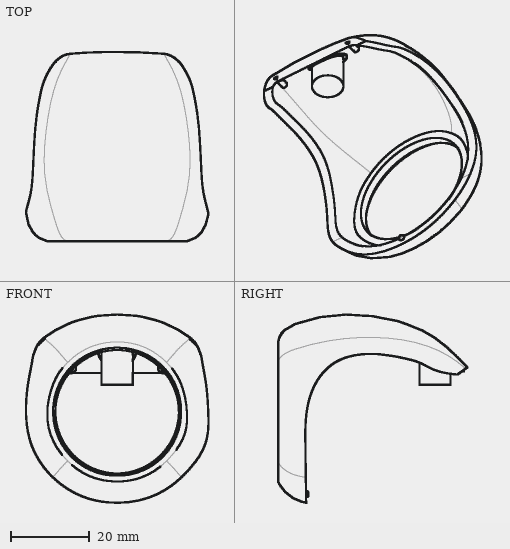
import cadquery as cq
import math

length = 48.19
wall = 2.5
face_thickness = 3.0

opening_radius = 15.7
opening_mouth_radius = 16.3
opening_chamfer_depth = 0.7

pin_diameter = 8.0
pin_y = 39.9
pin_bottom_z = 6.8

pad_diameter = 9.8
pad_thickness = 0.3

peg_diameter = 1.5
collar_peg_z = -20.95
collar_peg_end_y = 7.7
collar_peg_length = 4.0

tail_peg_diameter = 1.6
tail_peg_x = 11.2
tail_peg_z = 11.0
tail_peg_front_y = 43.0

rim_curve = [(7.0, -10.0), (7.0, -3.4), (7.8, 2.6), (11.6, 10.1), (15.0, 12.8), (19.3, 14.3),
             (23.5, 14.7), (29.5, 14.1), (36.0, 12.45), (45.6, 9.4)]
tail_tip = (length, 11.3)
collar_rear_y = 7.4
rim_start_heading = (0, 1)
rim_end_heading = (1, -0.1)

reach = 40
margin = 1

CIRCLE_SLOPE = 1 / (math.sqrt(2) - 1)

collar_face_radius = 17.75
seam_45 = collar_face_radius / math.sqrt(2)
shoulder_angle = math.radians(28)
face_shoulder = (collar_face_radius * math.cos(shoulder_angle), collar_face_radius * math.sin(shoulder_angle))
stations = [
    (0.0, collar_face_radius, (seam_45, seam_45), face_shoulder, collar_face_radius,
     (seam_45, -seam_45), -collar_face_radius),
    (2.2, 21.2, (14.7, 15.0), (19.0, 9.2), 21.3, (15.0, -15.1), -20.8),
    (7.3, 23.3, (16.4, 16.8), (21.4, 10.0), 23.2, (16.4, -16.7), -23.2),
    (14.0, 24.55, (18.0, 18.2), (21.8, 12.0), 23.0, (16.4, -16.7), -23.2),
    (23.0, 24.45, (18.5, 18.9), (21.3, 14.4), 22.8, (16.2, -16.5), -23.0),
    (32.0, 22.6, (17.5, 18.2), (20.6, 13.2), 22.4, (16.0, -16.3), -22.8),
    (40.0, 18.7, (15.6, 15.9), (18.7, 11.2), 21.0, (15.0, -16.0), -22.0),
    (45.0, 14.5, (13.4, 13.1), (16.2, 9.8), 18.8, (14.0, -15.0), -20.0),
    (49.5, 10.1, (10.8, 9.4), (13.0, 6.5), 16.0, (12.0, -13.0), -18.0),
]


def section(y, crown_z, seam, shoulder, half_width, low_seam, bottom_z):
    """Closed outline across the hood: crown, two sides and bottom, smooth at the four seams."""
    def at(x, z):
        return cq.Vector(x, y, z)

    def heading(x, z):
        return cq.Vector(x, 0, z)

    slope = CIRCLE_SLOPE * (crown_z - seam[1]) / seam[0]
    low_slope = CIRCLE_SLOPE * (low_seam[1] - bottom_z) / low_seam[0]
    (sx, sz), (ux, uz), (lx, lz) = seam, shoulder, low_seam

    def curve(points, start, end):
        return cq.Edge.makeSpline([at(*p) for p in points], tangents=[heading(*start), heading(*end)])

    crown = curve([(-sx, sz), (0, crown_z), (sx, sz)], (1, slope), (1, -slope))
    right = curve([(sx, sz), (ux, uz), (half_width, 0), (lx, lz)], (1, -slope), (-1, -low_slope))
    bottom = curve([(lx, lz), (0, bottom_z), (-lx, lz)], (-1, -low_slope), (-1, low_slope))
    left = curve([(-lx, lz), (-half_width, 0), (-ux, uz), (-sx, sz)], (-1, low_slope), (1, slope))
    return cq.Wire.assembleEdges([crown, right, bottom, left])


def loft_through(rows):
    """Smooth solid through a run of cross-sections."""
    return cq.Solid.makeLoft([section(*row) for row in rows])


def inset_station(index):
    """Station moved inward by the wall, allowing for the slope of the crown along the hood."""
    y, crown_z, seam, shoulder, half_width, low_seam, bottom_z = stations[index]
    before = stations[index - 1]
    after = stations[min(index + 1, len(stations) - 1)]
    crown_slope = (after[1] - before[1]) / (after[0] - before[0])
    drop = wall * math.hypot(1, crown_slope)
    side = wall * math.sqrt(0.5)
    seam_in = (seam[0] - side, seam[1] - drop * math.sqrt(0.5))
    shoulder_in = (
        shoulder[0] - wall * math.cos(shoulder_angle),
        shoulder[1] - wall * math.sin(shoulder_angle),
    )
    low_seam_in = (low_seam[0] - side, low_seam[1] + side)
    return (y, crown_z - drop, seam_in, shoulder_in, half_width - wall, low_seam_in, bottom_z + wall)


def cavity():
    """Hollow of the hood; its first section repeats the collar face one plate thickness behind it."""
    cavity_front = (face_thickness,) + stations[0][1:]
    return loft_through([cavity_front] + [inset_station(i) for i in range(2, len(stations))])


def hollow_body():
    """Outer skin with the cavity taken out; the cavity starts behind the collar face plate."""
    return loft_through(stations).cut(cavity())


def rim_trim():
    """Prism across X that keeps everything in front of and above the curved rim."""
    profile = (
        cq.Workplane("YZ")
        .moveTo(-margin, -reach)
        .lineTo(collar_rear_y, -reach)
        .lineTo(*rim_curve[0])
        .spline(rim_curve[1:], tangents=[rim_start_heading, rim_end_heading], includeCurrent=True)
        .lineTo(*tail_tip)
        .lineTo(length + reach, reach)
        .lineTo(-margin, reach)
        .close()
    )
    return profile.extrude(reach, both=True).val()


def skin_core():
    """Solid hood whose top runs inside the wall, used to end the pins within the wall."""
    return loft_through(stations).translate(cq.Vector(0, 0, -wall / 2))


def post(diameter):
    """Upright cylinder on the pin axis."""
    return cq.Solid.makeCylinder(diameter / 2, reach, cq.Vector(0, pin_y, pin_bottom_z))


def pin():
    """Pin up into the hood wall, with a thin round pad that follows the inside of the wall."""
    pad = post(pad_diameter).cut(cavity().translate(cq.Vector(0, 0, -pad_thickness)))
    return post(pin_diameter).fuse(pad).intersect(skin_core())


def collar_peg():
    """Round-ended locating peg that stands out of the rear edge of the collar at its lowest point."""
    base = cq.Workplane("XZ", origin=(0, collar_peg_end_y, collar_peg_z))
    peg = base.circle(peg_diameter / 2).extrude(collar_peg_length)
    return peg.faces(">Y").edges().fillet(peg_diameter / 4).val()


def tail_peg(side):
    """Short stub pointing forward from the inside of the tail wall."""
    base = cq.Workplane("XZ", origin=(side * tail_peg_x, length, tail_peg_z))
    return base.circle(tail_peg_diameter / 2).extrude(length - tail_peg_front_y).val().intersect(skin_core())


def opening():
    """Round opening through the collar face with a tapered mouth."""
    backward = cq.Vector(0, 1, 0)
    bore_start = cq.Vector(0, -margin, 0)
    bore = cq.Solid.makeCylinder(opening_radius, face_thickness + 2 * margin, bore_start, backward)
    mouth = cq.Solid.makeCone(
        opening_mouth_radius, opening_radius, opening_chamfer_depth, cq.Vector(0, 0, 0), backward
    )
    return bore.fuse(mouth)


def build():
    body = hollow_body().intersect(rim_trim())
    body = body.cut(opening())
    body = body.fuse(pin(), collar_peg(), tail_peg(-1), tail_peg(1))
    return cq.Workplane(body.Solids()[0])


result = build()